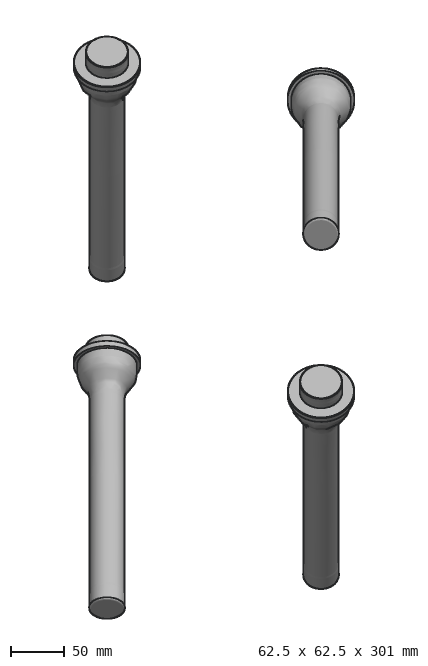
import cadquery as cq

TOTAL_HEIGHT = 301.0
PLUG_TAPER_TOP = 295.3
FLANGE_TOP = 286.2
FLANGE_THICKNESS = 6.3
CUP_RIM_HEIGHT = 9.0
NECK_TOP = 241.7
WAIST_TOP = 237.2
WAIST_BOTTOM = 145.7
TAIL_TAPER_TOP = 19.5
TAPER_HEIGHT = 2.7
LIP_HEIGHT = 1.8
LIP_FLARE_HEIGHT = 1.0

FLANGE_DIAMETER = 62.5
CUP_DIAMETER = 56.0
PLUG_DIAMETER = 40.0
PLUG_TIP_DIAMETER = 39.7
SHAFT_DIAMETER = 33.0
WAIST_DIAMETER = 32.8
TAIL_DIAMETER = 33.5
LIP_DIAMETER = 33.7

EDGE_CHAMFER = 0.5

FLANGE_BOTTOM = FLANGE_TOP - FLANGE_THICKNESS
CUP_RIM_BOTTOM = FLANGE_BOTTOM - CUP_RIM_HEIGHT
SHAFT_RADIUS = SHAFT_DIAMETER / 2
CUP_RADIUS = CUP_DIAMETER / 2
TAIL_RADIUS = TAIL_DIAMETER / 2


def revolve_profile(profile):
    """Turn a closed (radius, height) outline about the Z axis."""
    return profile.revolve(360, (0, 0, 0), (0, 1, 0))


def make_body():
    """Shaft with a lipped tail and a slim waist, flaring into a cup at its upper end."""
    waist_middle = (WAIST_DIAMETER / 2, (WAIST_TOP + WAIST_BOTTOM) / 2)
    lip_radius = LIP_DIAMETER / 2
    along_axis = (0, 1)
    profile = (
        cq.Workplane("XZ")
        .lineTo(lip_radius - LIP_HEIGHT, 0)
        .radiusArc((lip_radius, LIP_HEIGHT), -LIP_HEIGHT)
        .lineTo(TAIL_RADIUS, LIP_HEIGHT + LIP_FLARE_HEIGHT)
        .lineTo(TAIL_RADIUS, TAIL_TAPER_TOP - TAPER_HEIGHT)
        .lineTo(SHAFT_RADIUS, TAIL_TAPER_TOP)
        .lineTo(SHAFT_RADIUS, WAIST_BOTTOM)
        .threePointArc(waist_middle, (SHAFT_RADIUS, WAIST_TOP))
        .lineTo(SHAFT_RADIUS, NECK_TOP)
        .spline(
            [(CUP_RADIUS, CUP_RIM_BOTTOM)],
            tangents=[along_axis, along_axis],
            includeCurrent=True,
        )
        .lineTo(CUP_RADIUS, FLANGE_BOTTOM)
        .lineTo(0, FLANGE_BOTTOM)
        .close()
    )
    return revolve_profile(profile)


def make_cap():
    """Flange resting on the cup rim, with a tapered plug standing on it."""
    flange_radius = FLANGE_DIAMETER / 2
    plug_radius = PLUG_DIAMETER / 2
    tip_radius = PLUG_TIP_DIAMETER / 2
    profile = (
        cq.Workplane("XZ")
        .moveTo(0, FLANGE_BOTTOM)
        .lineTo(flange_radius, FLANGE_BOTTOM)
        .lineTo(flange_radius, FLANGE_TOP - EDGE_CHAMFER)
        .lineTo(flange_radius - EDGE_CHAMFER, FLANGE_TOP)
        .lineTo(plug_radius, FLANGE_TOP)
        .lineTo(plug_radius, PLUG_TAPER_TOP - TAPER_HEIGHT)
        .lineTo(tip_radius, PLUG_TAPER_TOP)
        .lineTo(tip_radius, TOTAL_HEIGHT - EDGE_CHAMFER)
        .lineTo(tip_radius - EDGE_CHAMFER, TOTAL_HEIGHT)
        .lineTo(0, TOTAL_HEIGHT)
        .close()
    )
    return revolve_profile(profile)


body = make_body()
cap = make_cap()
result = cq.Compound.makeCompound([body.val(), cap.val()])